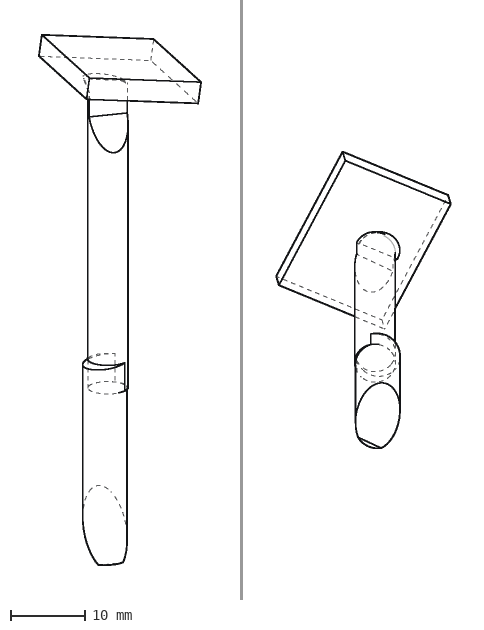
import cadquery as cq
import math

TOTAL_HEIGHT = 71.4
PLATE_LENGTH = 20.0
PLATE_WIDTH = 16.0
PLATE_THICKNESS = 3.0
PLATE_TILT = 8.0

SHAFT_RADIUS = 2.7
SHAFT_Y = -1.7
SHAFT_TOP = 66.85
SHOULDER_Z = 28.1
PEG_DEPTH = 4.0
FLAT_X = 0.1
RELIEF_TOP = 62.6
BEVEL_ANGLE = 60.0

NECK_BOTTOM = 66.1
NECK_LEAN = 20.0

TIP_RADIUS = 3.0
TIP_Y = -2.15
TIP_LAND_X = 2.4

BEVEL_SLOPE = math.tan(math.radians(BEVEL_ANGLE))
PEG_BOTTOM = SHOULDER_Z - PEG_DEPTH


def cylinder(radius, y, bottom, top):
    return cq.Workplane("XY", origin=(0, y, bottom)).circle(radius).extrude(top - bottom)


def make_plate():
    tilt = math.radians(PLATE_TILT)
    tilted_height = PLATE_WIDTH * math.sin(tilt) + PLATE_THICKNESS * math.cos(tilt)
    plate = cq.Workplane("XY").box(PLATE_LENGTH, PLATE_WIDTH, PLATE_THICKNESS)
    plate = plate.rotate((0, 0, 0), (1, 0, 0), -PLATE_TILT)
    return plate.translate((0, 0, TOTAL_HEIGHT - tilted_height / 2))


def make_relief():
    """Material removed from the +X side above the sloping cut."""
    reach = 2 * SHAFT_RADIUS
    return (
        cq.Workplane("XZ", origin=(0, SHAFT_Y, 0))
        .moveTo(FLAT_X, TOTAL_HEIGHT)
        .lineTo(FLAT_X, RELIEF_TOP)
        .lineTo(FLAT_X + reach, RELIEF_TOP - reach * BEVEL_SLOPE)
        .lineTo(FLAT_X + reach, TOTAL_HEIGHT)
        .close()
        .extrude(2 * SHAFT_RADIUS, both=True)
    )


def make_neck(plate):
    """Oblique cylinder between the shaft and the underside of the plate."""
    rise = plate.val().Center().z - NECK_BOTTOM
    lean = rise * math.tan(math.radians(NECK_LEAN))
    return (
        cq.Workplane("XY", origin=(0, SHAFT_Y, NECK_BOTTOM))
        .circle(SHAFT_RADIUS)
        .workplane(offset=rise)
        .center(0, -lean)
        .circle(SHAFT_RADIUS)
        .loft(ruled=True)
    )


def make_headed_shaft():
    plate = make_plate()
    shaft = cylinder(SHAFT_RADIUS, SHAFT_Y, PEG_BOTTOM, SHAFT_TOP)
    stem = shaft.union(make_neck(plate)).cut(make_relief())
    return stem.union(plate)


def make_shoulder_envelope():
    """Round envelope, coaxial with the shaft, with a 45 degree cone on top."""
    base_radius = SHAFT_RADIUS + 2 * TIP_RADIUS
    cone_bottom = SHOULDER_Z - (base_radius - SHAFT_RADIUS)
    return (
        cq.Workplane("XZ", origin=(0, SHAFT_Y, 0))
        .lineTo(base_radius, 0)
        .lineTo(base_radius, cone_bottom)
        .lineTo(SHAFT_RADIUS, SHOULDER_Z)
        .lineTo(0, SHOULDER_Z)
        .close()
        .revolve(360, (0, 0), (0, 1))
    )


def make_tip_bevel():
    """Material removed below the sloping face of the tip."""
    reach = TIP_LAND_X + 2 * TIP_RADIUS
    return (
        cq.Workplane("XZ", origin=(0, TIP_Y, 0))
        .moveTo(TIP_LAND_X, 0)
        .lineTo(TIP_LAND_X - reach, reach * BEVEL_SLOPE)
        .lineTo(TIP_LAND_X - reach, 0)
        .close()
        .extrude(2 * TIP_RADIUS, both=True)
    )


def make_tip():
    sleeve = cylinder(TIP_RADIUS, TIP_Y, 0, SHOULDER_Z)
    sleeve = sleeve.intersect(make_shoulder_envelope()).cut(make_tip_bevel())
    socket = cylinder(SHAFT_RADIUS, SHAFT_Y, PEG_BOTTOM, SHOULDER_Z)
    return sleeve.cut(socket)


headed_shaft = make_headed_shaft()
tip = make_tip()

result = cq.Compound.makeCompound([headed_shaft.solids().val(), tip.solids().val()])